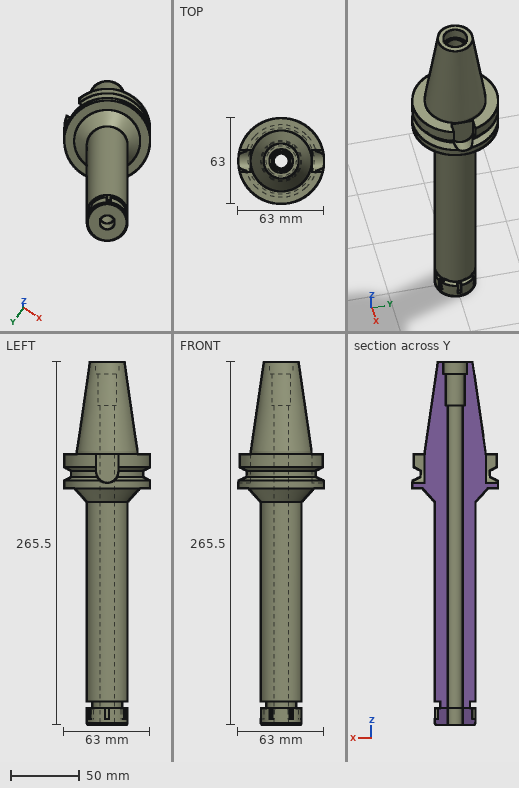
import cadquery as cq

total_height = 265.5

taper_ratio = 7 / 24
taper_length = 65.3
taper_large_diameter = 44.5
collar_height = 2.0

flange_diameter = 63.0
flange_thickness = 25.0
groove_floor_diameter = 53.0
upper_flange_thickness = 9.5
groove_floor_height = 4.5
groove_flank_height = 2.7

cone_diameter = 48.3
cone_height = 10.0
body_diameter = 30.0

nut_diameter = body_diameter
nut_height = 12.5
nut_chamfer_width = 0.8
nut_chamfer_height = 1.5
neck_diameter = 22.0
neck_height = 4.8

drive_slot_width = 16.2
drive_slot_floor = 22.5
drive_slot_depth = 21.0

wrench_slot_count = 6
wrench_slot_width = 3.0
wrench_slot_length = 8.0
wrench_slot_depth = 2.5

bore_diameter = 11.0
thread_bore_diameter = 13.8
thread_bore_depth = 31.8
mouth_diameter = 17.3
mouth_depth = 8.8

collar_top = total_height - taper_length
flange_top = collar_top - collar_height
groove_top = flange_top - upper_flange_thickness
groove_floor_top = groove_top - groove_flank_height
groove_floor_bottom = groove_floor_top - groove_floor_height
groove_bottom = groove_floor_bottom - groove_flank_height
flange_bottom = flange_top - flange_thickness
cone_bottom = flange_bottom - cone_height
body_bottom = nut_height + neck_height
taper_small_diameter = taper_large_diameter - taper_length * taper_ratio


def revolve_profile(diameter_heights):
    """Solid of revolution about Z from (diameter, height) points, closed along the axis."""
    first_height = diameter_heights[0][1]
    last_height = diameter_heights[-1][1]
    rim = [(diameter / 2, height) for diameter, height in diameter_heights]
    outline = [(0, first_height)] + rim + [(0, last_height)]
    return cq.Workplane("XZ").polyline(outline).close().revolve(360, (0, 0), (0, 1))


def bore_cutter(diameter, bottom, top):
    return cq.Workplane("XY").workplane(offset=bottom).circle(diameter / 2).extrude(top - bottom)


def drive_slot_cutter():
    """Slot on the +X side: flat floor, straight sides and a round lower end."""
    half_width = drive_slot_width / 2
    lowest = flange_top - drive_slot_depth
    arc_start = lowest + half_width
    return (
        cq.Workplane("YZ")
        .workplane(offset=drive_slot_floor)
        .moveTo(-half_width, flange_top)
        .lineTo(-half_width, arc_start)
        .threePointArc((0, lowest), (half_width, arc_start))
        .lineTo(half_width, flange_top)
        .close()
        .extrude(flange_diameter / 2)
    )


def make_holder():
    holder = revolve_profile([
        (neck_diameter, nut_height),
        (neck_diameter, body_bottom),
        (body_diameter, body_bottom),
        (body_diameter, cone_bottom),
        (cone_diameter, flange_bottom),
        (flange_diameter, flange_bottom),
        (flange_diameter, groove_bottom),
        (groove_floor_diameter, groove_floor_bottom),
        (groove_floor_diameter, groove_floor_top),
        (flange_diameter, groove_top),
        (flange_diameter, flange_top),
        (taper_large_diameter, flange_top),
        (taper_large_diameter, collar_top),
        (taper_small_diameter, total_height),
    ])
    for angle in (0, 180):
        holder = holder.cut(drive_slot_cutter().rotate((0, 0, 0), (0, 0, 1), angle))
    holder = holder.cut(bore_cutter(bore_diameter, nut_height, total_height))
    holder = holder.cut(bore_cutter(thread_bore_diameter, total_height - thread_bore_depth, total_height))
    return holder.cut(bore_cutter(mouth_diameter, total_height - mouth_depth, total_height))


def make_nut():
    nut = revolve_profile([
        (nut_diameter - 2 * nut_chamfer_width, 0),
        (nut_diameter, nut_chamfer_height),
        (nut_diameter, nut_height),
    ])
    nut = nut.cut(bore_cutter(bore_diameter, 0, nut_height))
    slot_floor = nut_diameter / 2 - wrench_slot_depth
    slot_reach = 2 * wrench_slot_depth
    for index in range(wrench_slot_count):
        cutter = (
            cq.Workplane("XY")
            .box(slot_reach, wrench_slot_width, wrench_slot_length, centered=(False, True, False))
            .translate((slot_floor, 0, nut_height - wrench_slot_length))
            .rotate((0, 0, 0), (0, 0, 1), index * 360 / wrench_slot_count)
        )
        nut = nut.cut(cutter)
    return nut


holder = make_holder()
nut = make_nut()
result = cq.Compound.makeCompound([holder.val(), nut.val()])